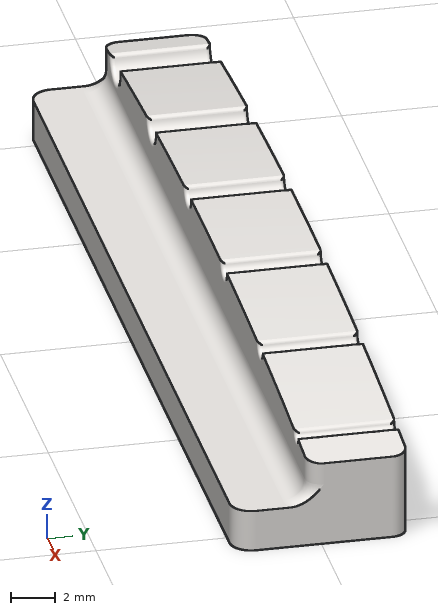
import cadquery as cq
import math

length = 43.0
depth = 8.0
height = 5.3

ledge_height = 1.98
saddle_depth = 4.6
saddle_front = depth - saddle_depth
cove_radius = 1.0
front_corner_radius = 1.0
saddle_corner_radius = 0.75

crown_radius = 184.05
crown_center_z = height - crown_radius

slot_radii = [1.0, 0.8, 0.6, 0.5, 0.45, 0.3]
first_slot_x = 2.55
slot_spacing = (length - 2 * first_slot_x) / (len(slot_radii) - 1)
slot_rim_radius = 0.198

pick_gap = 0.05


def crown_z(x):
    """Height of the crowned top at position x."""
    return crown_center_z + math.sqrt(crown_radius**2 - (x - length / 2) ** 2)


def make_outline():
    """Full-height block with the rounded plan corners of the part."""
    block = cq.Workplane("XY").box(length, depth, height, centered=False)
    block = block.edges("|Z and <Y").fillet(front_corner_radius)
    return block.edges("|Z and >Y").fillet(saddle_corner_radius)


def make_crown():
    """Envelope under the crowned top."""
    end_z = crown_z(0)
    return (
        cq.Workplane("XZ")
        .lineTo(length, 0)
        .lineTo(length, end_z)
        .threePointArc((length / 2, height), (0, end_z))
        .close()
        .extrude(-depth)
    )


def cut_slot(body, x, radius):
    """Cut a half-round slot centred on the crown and round its whole rim."""
    center_z = crown_z(x)
    cutter = cq.Workplane("XZ").center(x, center_z).circle(radius).extrude(-depth)
    body = body.cut(cutter)
    reach = radius + pick_gap
    rim = cq.selectors.BoxSelector(
        (x - reach, 0, center_z - reach),
        (x + reach, depth + pick_gap, center_z + reach),
        boundingbox=True,
    )
    return body.edges(rim).fillet(slot_rim_radius)


def make_saddle():
    """Raised block with rounded corners, crowned top and string slots."""
    saddle = (
        cq.Workplane("XY", origin=(0, saddle_front, 0))
        .box(length, saddle_depth, height, centered=False)
        .edges("|Z")
        .fillet(saddle_corner_radius)
        .intersect(make_crown())
    )
    for index, slot_radius in enumerate(slot_radii):
        saddle = cut_slot(saddle, first_slot_x + index * slot_spacing, slot_radius)
    return saddle


def blend_into_ledge(saddle):
    """Join the saddle to an oversize ledge with a cove, then trim to the plan outline."""
    margin = 2 * cove_radius
    slab = (
        cq.Workplane("XY")
        .box(length + 2 * margin, depth + 2 * margin, ledge_height, centered=False)
        .translate((-margin, -margin, 0))
    )
    foot = cq.selectors.BoxSelector(
        (-pick_gap, saddle_front - pick_gap, ledge_height - pick_gap),
        (length + pick_gap, depth + pick_gap, ledge_height + pick_gap),
    )
    blended = slab.union(saddle).edges(foot).fillet(cove_radius)
    front_part = make_outline().intersect(
        cq.Workplane("XY").box(length, saddle_front + saddle_corner_radius, height, centered=False)
    )
    return blended.intersect(front_part, clean=False).union(saddle)


result = blend_into_ledge(make_saddle())